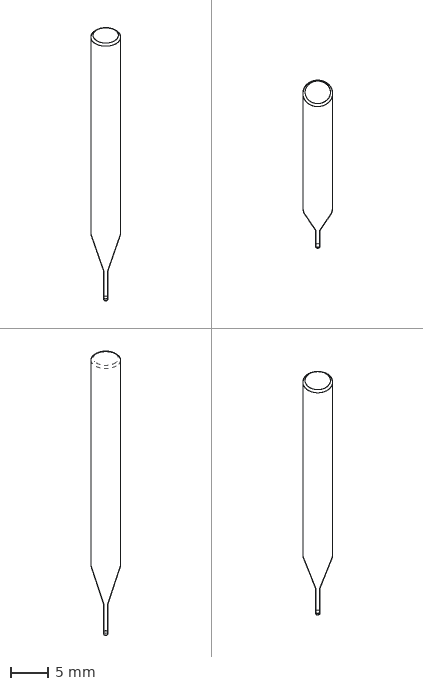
import cadquery as cq

TOTAL_LENGTH = 45.0
SHANK_RADIUS = 4.0 / 2
SHANK_CHAMFER = 0.3

NECK_RADIUS = 0.28
NECK_TOP = 5.0
CONE_TOP = 11.4

BALL_RADIUS = 0.3
HEAD_TOP = 0.5


def make_holder():
    """Chamfered shank, cone and neck, revolved about the tool axis."""
    profile = (
        cq.Workplane("XZ")
        .moveTo(0, HEAD_TOP)
        .lineTo(NECK_RADIUS, HEAD_TOP)
        .lineTo(NECK_RADIUS, NECK_TOP)
        .lineTo(SHANK_RADIUS, CONE_TOP)
        .lineTo(SHANK_RADIUS, TOTAL_LENGTH - SHANK_CHAMFER)
        .lineTo(SHANK_RADIUS - SHANK_CHAMFER, TOTAL_LENGTH)
        .lineTo(0, TOTAL_LENGTH)
        .close()
    )
    return profile.revolve(360, (0, 0, 0), (0, 1, 0))


def make_cutting_head():
    """Hemispherical tip with a short cylindrical band, seated on the end of the neck."""
    profile = (
        cq.Workplane("XZ")
        .moveTo(0, 0)
        .radiusArc((BALL_RADIUS, BALL_RADIUS), -BALL_RADIUS)
        .lineTo(BALL_RADIUS, HEAD_TOP)
        .lineTo(0, HEAD_TOP)
        .close()
    )
    return profile.revolve(360, (0, 0, 0), (0, 1, 0))


holder = make_holder()
cutting_head = make_cutting_head()
result = cq.Compound.makeCompound([holder.val(), cutting_head.val()])